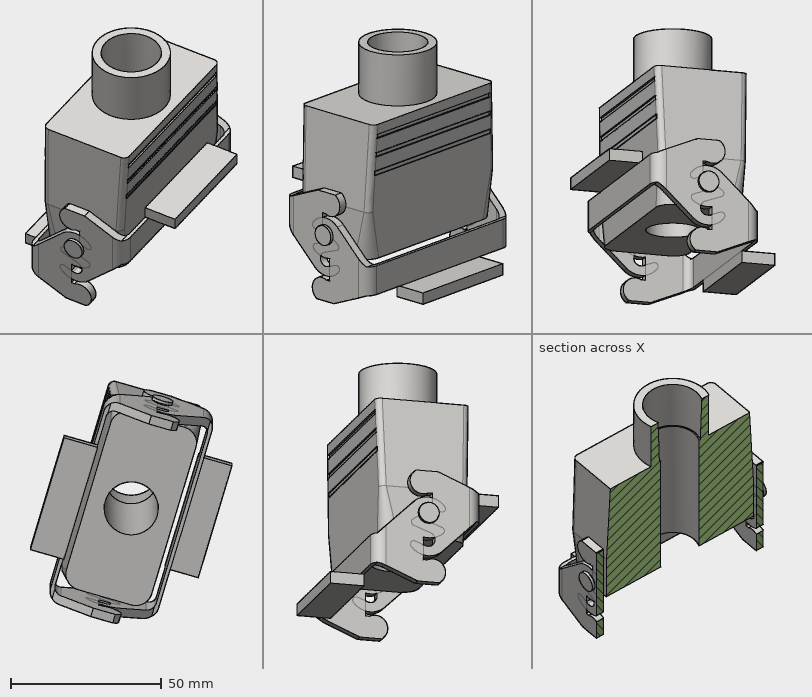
import cadquery as cq
import math


HOOD_TOP = 44.9
HOOD_BREAK = 14.2
HOOD_BOTTOM = -2.95
HOOD_HALF_X_TOP = 16.2
HOOD_HALF_X_BOTTOM = 14.8
HOOD_HALF_Y_TOP = 29.9
HOOD_HALF_Y_BOTTOM = 31.5
CORNER_RADIUS = 2.05
CORNER_RADIUS_BOTTOM = 5.6

GROOVE_TOP = 41.35
GROOVE_HEIGHT = 1.5
GROOVE_PITCH = 6.5
GROOVE_COUNT = 3
GROOVE_FLOOR_X = 15.35

COLLAR_DIAMETER = 26.0
COLLAR_HEIGHT = 18.0
BORE_MOUTH_DIAMETER = 20.0
BORE_SEAT_DIAMETER = 18.95
BORE_DIAMETER = 18.0

LEVER_HALF_X = 18.7
LEVER_HALF_Y = 35.7
WALL_THICKNESS = 1.2
PLATE_THICKNESS = 3.0
BEND_RADIUS = 4.3
BEND_INNER_RADIUS = 2.7

WALL_TOP = -3.4
WALL_BOTTOM = -13.5
WALL_EDGE_X = -17.2
PIVOT_Z = 4.4
ARM_RADIUS = 7.4
ARM_CENTRE_Z = 2.8
SLOPE_ANGLE = 43.0
SLOT_ANGLE = 20.0
TIP_RADIUS = 1.2
NOSE_RADIUS = 8.4
THROAT_X = -1.55
THROAT_BOTTOM = -11.65
HOOK_RADIUS = 4.35
HOOK_CENTRE = (1.8, -15.5)
LEVER_BOTTOM = -19.2
FOOT_X = -3.5

GRIP_SPAN = 58.2
GRIP_LENGTH = 39.7
GRIP_HEIGHT = 4.0

PIN_DIAMETER = 4.9
PIN_HEAD_DIAMETER = 7.0
PIN_SPAN = 74.4
PIN_HEAD_GAP = 0.4


def polar(centre, radius, degrees):
    """Point on a circle at an angle measured from the first axis."""
    angle = math.radians(degrees)
    return (centre[0] + radius * math.cos(angle), centre[1] + radius * math.sin(angle))


def direction(start, end):
    """Angle in degrees from one point to another."""
    return math.degrees(math.atan2(end[1] - start[1], end[0] - start[0]))


def hood_half_x(z):
    """Half width of the hood, which narrows evenly from top to bottom."""
    share = (HOOD_TOP - z) / (HOOD_TOP - HOOD_BOTTOM)
    return HOOD_HALF_X_TOP + share * (HOOD_HALF_X_BOTTOM - HOOD_HALF_X_TOP)


def rounded_section(z, half_y, radius):
    """Rounded rectangular section of the hood at one height."""
    section = cq.Sketch().rect(2 * hood_half_x(z), 2 * half_y).vertices().fillet(radius)
    return section.moved(cq.Location(cq.Vector(0, 0, z)))


def make_hood_block():
    """Tapered upper part joined to the lower part with widening corners."""
    bottom = rounded_section(HOOD_BOTTOM, HOOD_HALF_Y_BOTTOM, CORNER_RADIUS_BOTTOM)
    middle = rounded_section(HOOD_BREAK, HOOD_HALF_Y_BOTTOM, CORNER_RADIUS)
    top = rounded_section(HOOD_TOP, HOOD_HALF_Y_TOP, CORNER_RADIUS)
    lower = cq.Workplane().placeSketch(bottom, middle).loft(ruled=True)
    upper = cq.Workplane().placeSketch(middle, top).loft(ruled=True)
    return lower.union(upper)


def make_grooves():
    """Level grooves with a common flat floor, running between the corners of each long wall."""
    grooves = []
    depth = HOOD_HALF_X_TOP - GROOVE_FLOOR_X
    for row in range(GROOVE_COUNT):
        top = GROOVE_TOP - row * GROOVE_PITCH
        share = (HOOD_TOP - top) / (HOOD_TOP - HOOD_BREAK)
        half_y = HOOD_HALF_Y_TOP + share * (HOOD_HALF_Y_BOTTOM - HOOD_HALF_Y_TOP)
        length = 2 * (half_y - CORNER_RADIUS)
        for side in (-1, 1):
            centre = (side * (GROOVE_FLOOR_X + depth / 2), 0, top - GROOVE_HEIGHT / 2)
            grooves.append(cq.Workplane(origin=centre).box(depth, length, GROOVE_HEIGHT))
    return grooves


def make_bore():
    """Conical collar bore that ends on a small ledge, then a straight bore through the hood."""
    collar_top = HOOD_TOP + COLLAR_HEIGHT
    profile = [
        (0, HOOD_BOTTOM),
        (BORE_DIAMETER / 2, HOOD_BOTTOM),
        (BORE_DIAMETER / 2, HOOD_TOP),
        (BORE_SEAT_DIAMETER / 2, HOOD_TOP),
        (BORE_MOUTH_DIAMETER / 2, collar_top),
        (0, collar_top),
    ]
    return cq.Workplane("XZ").polyline(profile).close().revolve(360, (0, 0, 0), (0, 1, 0))


def make_hood():
    collar = cq.Workplane(origin=(0, 0, HOOD_TOP)).circle(COLLAR_DIAMETER / 2).extrude(COLLAR_HEIGHT)
    hood = make_hood_block().union(collar)
    for groove in make_grooves():
        hood = hood.cut(groove)
    return hood.cut(make_bore())


def make_lever_outline():
    """Outline of one lever: sloping plate, arm over the pivot, open slot, nose, throat and hook."""
    pivot = (0, PIVOT_Z)
    arm_centre = (0, ARM_CENTRE_Z)
    slot_radius = PIN_DIAMETER / 2

    def slot_point(along, across):
        """Point given along the slot from the pivot, and across it."""
        reach = polar(pivot, along, -SLOT_ANGLE)
        return polar(reach, across, 90 - SLOT_ANGLE)

    slope_end = polar(arm_centre, ARM_RADIUS, 90 + SLOPE_ANGLE)

    arm_drop = PIVOT_Z - ARM_CENTRE_Z
    arm_centre_along = arm_drop * math.sin(math.radians(SLOT_ANGLE))
    arm_centre_across = -arm_drop * math.cos(math.radians(SLOT_ANGLE))
    tip_across = slot_radius + TIP_RADIUS
    tip_along = arm_centre_along + math.sqrt(
        (ARM_RADIUS - TIP_RADIUS) ** 2 - (tip_across - arm_centre_across) ** 2
    )
    arm_tip = slot_point(tip_along, tip_across)
    arm_tip_angle = direction(arm_centre, arm_tip)
    arm_tip_start = polar(arm_centre, ARM_RADIUS, arm_tip_angle)
    arm_middle = polar(arm_centre, ARM_RADIUS, (90 + SLOPE_ANGLE + arm_tip_angle) / 2)

    nose_along = math.sqrt((NOSE_RADIUS - TIP_RADIUS) ** 2 - tip_across**2)
    nose_tip = slot_point(nose_along, -tip_across)
    nose_tip_angle = direction(pivot, nose_tip)
    nose_tip_end = polar(pivot, NOSE_RADIUS, nose_tip_angle)
    nose_end = (THROAT_X, PIVOT_Z - math.sqrt(NOSE_RADIUS**2 - THROAT_X**2))
    nose_middle = polar(pivot, NOSE_RADIUS, (nose_tip_angle + direction(pivot, nose_end)) / 2)

    hook_rise = THROAT_BOTTOM - HOOK_CENTRE[1]
    hook_drop = LEVER_BOTTOM - HOOK_CENTRE[1]
    hook_start = (HOOK_CENTRE[0] - math.sqrt(HOOK_RADIUS**2 - hook_rise**2), THROAT_BOTTOM)
    hook_end = (HOOK_CENTRE[0] + math.sqrt(HOOK_RADIUS**2 - hook_drop**2), LEVER_BOTTOM)

    return (
        cq.Workplane("XZ", origin=(0, LEVER_HALF_Y, 0))
        .moveTo(-LEVER_HALF_X, WALL_BOTTOM)
        .lineTo(-LEVER_HALF_X, WALL_TOP)
        .lineTo(WALL_EDGE_X, WALL_TOP)
        .lineTo(*slope_end)
        .threePointArc(arm_middle, arm_tip_start)
        .threePointArc(polar(arm_tip, TIP_RADIUS, -SLOT_ANGLE), slot_point(tip_along, slot_radius))
        .lineTo(*slot_point(0, slot_radius))
        .threePointArc(slot_point(-slot_radius, 0), slot_point(0, -slot_radius))
        .lineTo(*slot_point(nose_along, -slot_radius))
        .threePointArc(polar(nose_tip, TIP_RADIUS, -SLOT_ANGLE), nose_tip_end)
        .threePointArc(nose_middle, nose_end)
        .lineTo(THROAT_X, THROAT_BOTTOM)
        .lineTo(*hook_start)
        .threePointArc(polar(HOOK_CENTRE, HOOK_RADIUS, 0), hook_end)
        .lineTo(FOOT_X, LEVER_BOTTOM)
        .lineTo(WALL_EDGE_X, WALL_BOTTOM)
        .close()
    )


def make_lever_ring():
    """Upright rectangular ring with rounded corners that bounds the lever's sheet."""
    height = -2 * LEVER_BOTTOM
    inner_x = 2 * (LEVER_HALF_X - WALL_THICKNESS)
    inner_y = 2 * (LEVER_HALF_Y - PLATE_THICKNESS)
    outer = cq.Workplane().box(2 * LEVER_HALF_X, 2 * LEVER_HALF_Y, height).edges("|Z").fillet(BEND_RADIUS)
    inner = cq.Workplane().box(inner_x, inner_y, height).edges("|Z").fillet(BEND_INNER_RADIUS)
    return outer.cut(inner)


def make_lever():
    """Lever with its wall on the -X side and a grip bar under the wall."""
    plates = make_lever_outline().extrude(2 * LEVER_HALF_Y).intersect(make_lever_ring())
    grip_depth = GRIP_SPAN / 2 - LEVER_HALF_X + WALL_THICKNESS
    grip_centre = ((grip_depth - GRIP_SPAN) / 2, 0, WALL_BOTTOM - GRIP_HEIGHT / 2)
    grip = cq.Workplane(origin=grip_centre).box(grip_depth, GRIP_LENGTH, GRIP_HEIGHT)
    return plates.union(grip, clean=False)


def make_double_lever():
    """Two levers facing opposite ways in one layer of sheet, bored for the pivot pins."""
    lever = make_lever()
    turned = lever.rotate((0, 0, 0), (0, 1, 0), 180)
    bore = (
        cq.Workplane("XZ", origin=(0, LEVER_HALF_Y, PIVOT_Z))
        .circle(PIN_DIAMETER / 2)
        .extrude(2 * LEVER_HALF_Y)
    )
    return lever.union(turned, clean=False).cut(bore, clean=False)


def make_pin(side):
    """Pivot pin standing on a hood end wall, with a head just outside the lever plate."""
    outward = cq.Vector(0, side, 0)
    head_start = LEVER_HALF_Y + PIN_HEAD_GAP
    foot = cq.Vector(0, side * HOOD_HALF_Y_BOTTOM, PIVOT_Z)
    head_seat = cq.Vector(0, side * head_start, PIVOT_Z)
    shank = cq.Solid.makeCylinder(PIN_DIAMETER / 2, head_start - HOOD_HALF_Y_BOTTOM, foot, outward)
    head = cq.Solid.makeCylinder(PIN_HEAD_DIAMETER / 2, PIN_SPAN / 2 - head_start, head_seat, outward)
    return cq.Workplane(shank).union(cq.Workplane(head))


hood = make_hood()
double_lever = make_double_lever()
pins = [make_pin(side) for side in (-1, 1)]

result = cq.Compound.makeCompound(
    [
        hood.solids().val(),
        double_lever.solids().val(),
        *[pin.solids().val() for pin in pins],
    ]
)